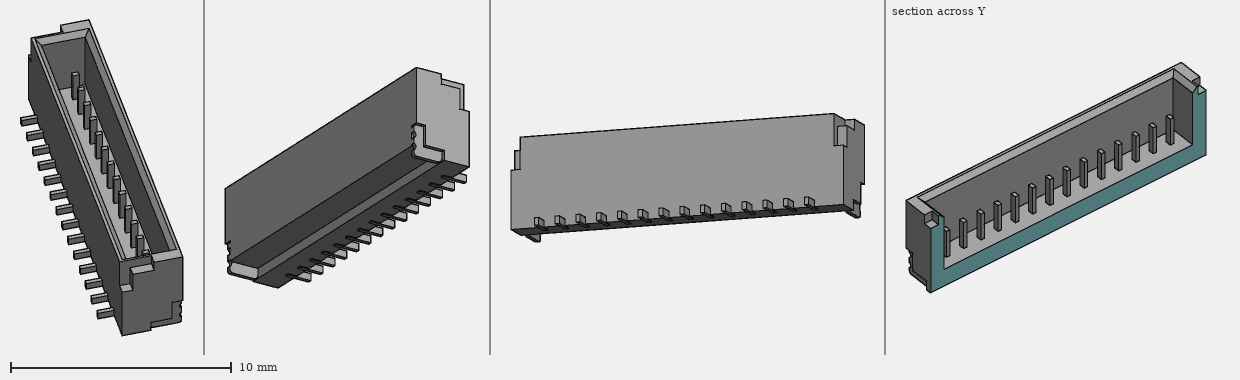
import cadquery as cq

length = 16.0
depth = 2.85
height = 4.3
standoff = 0.05

mouth_end_wall = 0.55
mouth_side_wall = 0.15
lead_in = 0.25
floor_thickness = 1.0

step_long = 1.5
step_short = 0.5
step_width = 0.45

pin_count = 14
pitch = 1.0
pin_width = 0.2
pin_thickness = 0.3
foot_thickness = 0.35
post_rear_offset = 0.9
post_height = 1.5
foot_overhang = 0.75
foot_embedded = 0.5

tab_inset = 0.2
tab_thickness = 0.2
tab_toe_radius = 0.15
tab_top_radius = 0.1
tab_heel_radius = 0.2
notch_radius = 0.17
notch_depth = 0.1
notch_heights = (0.46, 1.05)

half_length = length / 2
front_y = -depth / 2
rear_y = depth / 2
floor_z = standoff + floor_thickness


def box(x_min, x_max, y_min, y_max, z_min, z_max):
    """Box between two opposite corners."""
    size = (x_max - x_min, y_max - y_min, z_max - z_min)
    return cq.Workplane("XY").box(*size, centered=False).translate((x_min, y_min, z_min))


def both_ends(left_feature):
    """A left-end feature together with its mirror image at the right end."""
    return left_feature.union(left_feature.mirror("YZ"))


def make_cavity():
    """Open-top pocket with 45 degree lead-in faces around its mouth."""
    mouth_x = length - 2 * mouth_end_wall
    mouth_y = depth - 2 * mouth_side_wall
    pocket_x = mouth_x - 2 * lead_in
    pocket_y = mouth_y - 2 * lead_in
    pocket = box(-pocket_x / 2, pocket_x / 2, -pocket_y / 2, pocket_y / 2, floor_z, height)
    funnel = (
        cq.Workplane("XY")
        .workplane(offset=height - lead_in)
        .rect(pocket_x, pocket_y)
        .workplane(offset=lead_in)
        .rect(mouth_x, mouth_y)
        .loft(ruled=True)
    )
    return pocket.union(funnel)


def make_upper_steps():
    """L-shaped cutouts in the upper front corner of both ends."""
    inner_x = step_width - half_length
    along_top = box(-half_length, inner_x, front_y, front_y + step_long, height - step_short, height)
    along_front = box(-half_length, inner_x, front_y, front_y + step_short, height - step_long, height)
    return both_ends(along_top.union(along_front))


def make_lower_recess():
    """Rear undercut along the whole length, with a tab slot rising at each end."""
    undercut = box(
        -half_length, half_length, rear_y - step_long, rear_y, standoff, standoff + step_short
    )
    slot_inner_x = tab_inset + tab_thickness - half_length
    tab_slot = box(
        -half_length, slot_inner_x, rear_y - step_short, rear_y, standoff, standoff + step_long
    )
    return undercut.union(both_ends(tab_slot))


def make_solder_tabs():
    """L-shaped plates in the end recesses, with round notches in the rear edge."""
    inner_x = tab_inset + tab_thickness - half_length
    outer_x = tab_inset - half_length
    foot = box(outer_x, inner_x, rear_y - step_long, rear_y, 0, standoff + step_short)
    foot = foot.edges("|X and <Z and <Y").fillet(tab_heel_radius)
    upright = box(outer_x, inner_x, rear_y - step_short, rear_y, 0, standoff + step_long)
    upright = upright.edges("|X and >Y and >Z").fillet(tab_top_radius)
    tab = foot.union(upright)
    tab = tab.edges("|X and >Y and <Z").fillet(tab_toe_radius)
    notch_centre_y = rear_y - notch_depth + notch_radius
    for notch_z in notch_heights:
        notch = (
            cq.Workplane("YZ", origin=(outer_x, 0, 0))
            .center(notch_centre_y, notch_z)
            .circle(notch_radius)
            .extrude(tab_thickness)
        )
        tab = tab.cut(notch)
    return both_ends(tab)


def make_terminal(x_centre):
    """One contact: a post standing in the cavity and a foot out of the front."""
    x_min = x_centre - pin_width / 2
    x_max = x_centre + pin_width / 2
    post_rear_y = rear_y - post_rear_offset
    post = box(x_min, x_max, post_rear_y - pin_thickness, post_rear_y, floor_z, floor_z + post_height)
    foot = box(x_min, x_max, front_y - foot_overhang, front_y + foot_embedded, 0, foot_thickness)
    return post.union(foot)


housing = box(-half_length, half_length, front_y, rear_y, standoff, height)
housing = housing.cut(make_cavity()).cut(make_upper_steps()).cut(make_lower_recess())

result = housing.union(make_solder_tabs())
for index in range(pin_count):
    result = result.union(make_terminal((index - (pin_count - 1) / 2) * pitch))